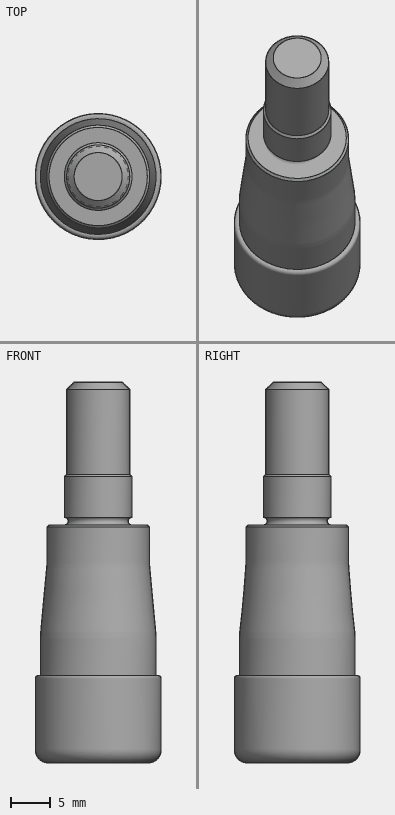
import cadquery as cq
import math

CAP_DIAMETER = 15.9
CAP_HEIGHT = 11.05
CAP_BOTTOM_FILLET = 1.7
CAP_TOP_FILLET = 0.45

BARREL_LOWER_RADIUS = 7.3
BARREL_UPPER_RADIUS = 6.5
TAPER_BOTTOM_Z = 16.15
TAPER_TOP_Z = 24.95
TAPER_BLEND_RADIUS = 9.6
BARREL_TOP_Z = 30.0
BARREL_CHAMFER = 0.3

GROOVE_RADIUS = 0.5
COLLAR_RADIUS = 4.25
COLLAR_TOP_Z = 36.4
SHANK_RADIUS = 4.0
STUD_TOP_Z = 48.0
TIP_CHAMFER_HEIGHT = 0.9
TIP_CHAMFER_WIDTH = 0.95

CAP_RADIUS = CAP_DIAMETER / 2
NECK_RADIUS = COLLAR_RADIUS - GROOVE_RADIUS
GROOVE_MIDDLE_Z = BARREL_TOP_Z + GROOVE_RADIUS
COLLAR_BOTTOM_Z = BARREL_TOP_Z + 2 * GROOVE_RADIUS
COLLAR_CHAMFER = COLLAR_RADIUS - SHANK_RADIUS


def make_cap():
    """Plain disc with a large bottom round and a small top round."""
    return (
        cq.Workplane("XY")
        .circle(CAP_RADIUS)
        .extrude(CAP_HEIGHT)
        .faces("<Z")
        .edges()
        .fillet(CAP_BOTTOM_FILLET)
        .faces(">Z")
        .edges()
        .fillet(CAP_TOP_FILLET)
    )


def make_handle():
    """Tapered barrel and stud, revolved together from one half profile (radius, height)."""
    taper_angle = math.atan2(BARREL_LOWER_RADIUS - BARREL_UPPER_RADIUS, TAPER_TOP_Z - TAPER_BOTTOM_Z)
    blend_length = TAPER_BLEND_RADIUS * math.tan(taper_angle / 2)
    blend_inset = blend_length * math.sin(taper_angle)
    blend_rise = blend_length * math.cos(taper_angle)
    arc_offset = GROOVE_RADIUS * math.sin(math.pi / 4)
    arc_middle_radius = COLLAR_RADIUS - arc_offset
    profile = (
        cq.Workplane("XZ")
        .moveTo(0, CAP_HEIGHT)
        .lineTo(BARREL_LOWER_RADIUS, CAP_HEIGHT)
        .lineTo(BARREL_LOWER_RADIUS, TAPER_BOTTOM_Z - blend_length)
        .tangentArcPoint((BARREL_LOWER_RADIUS - blend_inset, TAPER_BOTTOM_Z + blend_rise), relative=False)
        .lineTo(BARREL_UPPER_RADIUS + blend_inset, TAPER_TOP_Z - blend_rise)
        .tangentArcPoint((BARREL_UPPER_RADIUS, TAPER_TOP_Z + blend_length), relative=False)
        .lineTo(BARREL_UPPER_RADIUS, BARREL_TOP_Z - BARREL_CHAMFER)
        .lineTo(BARREL_UPPER_RADIUS - BARREL_CHAMFER, BARREL_TOP_Z)
        .lineTo(COLLAR_RADIUS, BARREL_TOP_Z)
        .threePointArc((arc_middle_radius, GROOVE_MIDDLE_Z - arc_offset), (NECK_RADIUS, GROOVE_MIDDLE_Z))
        .threePointArc((arc_middle_radius, GROOVE_MIDDLE_Z + arc_offset), (COLLAR_RADIUS, COLLAR_BOTTOM_Z))
        .lineTo(COLLAR_RADIUS, COLLAR_TOP_Z - COLLAR_CHAMFER)
        .lineTo(SHANK_RADIUS, COLLAR_TOP_Z)
        .lineTo(SHANK_RADIUS, STUD_TOP_Z - TIP_CHAMFER_HEIGHT)
        .lineTo(SHANK_RADIUS - TIP_CHAMFER_WIDTH, STUD_TOP_Z)
        .lineTo(0, STUD_TOP_Z)
        .close()
    )
    return profile.revolve(360, (0, 0, 0), (0, 1, 0), clean=False)


cap = make_cap()
handle = make_handle()

result = cq.Compound.makeCompound([cap.val(), handle.val()])